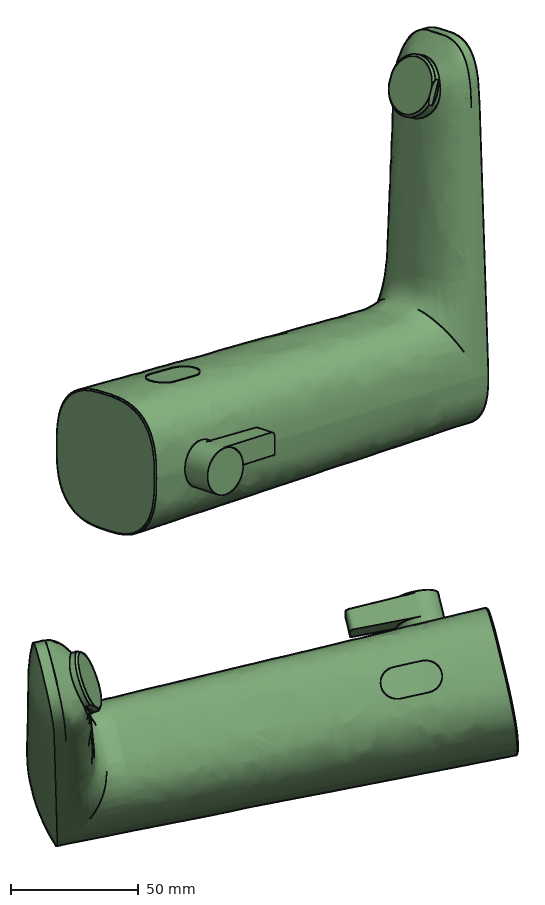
import cadquery as cq
import math


total_length = 189.1
base_half_width = 28.2
base_half_height = 28.4
seam_y = 179.6
seam_half_width = 24.5
seam_upper_height = 26.1
seam_lower_height = 24.8
body_power = 2.7
base_chamfer = 0.5

elbow_start_y = 153.2
elbow_end_z = 39.7
elbow_end_crown_y = 164.5
neck_power = 2.1

head_start_z = 109.7
head_half_width = 19.7
head_depth = 13.2
head_slope = 0.85
head_blend_power = 6
top_z = 135.8
head_outline_power = 3.0
head_end_gap = 0.2

rim_y = 184.2
dome_ridge_top_z = 114.2
dome_ridge_scale = 0.08

nozzle_radius = 12.5
nozzle_face_y = 165.5
nozzle_face_z = 117.2
nozzle_tilt = 19.5
nozzle_depth = 11.3
nozzle_chamfer = 1.0
nozzle_flat_offset = 11.3
nozzle_flat_length = 2.8

lever_radius = 9.6
lever_y = 26.0
lever_outer_x = 40.7
lever_inner_x = 22.7
arm_tip_y = 53.9
arm_root_x = (30.0, 40.0)
arm_tip_x = (30.8, 39.3)
arm_tip_round = 1.9

window_width = 13.2
window_length = 24.4
window_center_y = 36.5
window_depth = 0.2

elbow_corner_angle = math.atan2(seam_y - elbow_start_y, elbow_end_z)

ARCH_STEPS = 16


def mix(start, end, fraction):
    return start + (end - start) * fraction


def body_half_width(y):
    return mix(base_half_width, seam_half_width, y / seam_y)


def body_height(side, y):
    """Height of the body above (side = 1) or below (side = -1) its middle."""
    seam_height = seam_upper_height if side > 0 else seam_lower_height
    return mix(base_half_height, seam_height, y / seam_y)


def neck_taper(z):
    return mix(seam_half_width, head_half_width, z / head_start_z)


def neck_half_width(z):
    rise = max(0.0, (z - head_start_z) / (top_z - head_start_z))
    rounding = (1 - rise ** head_outline_power) ** (1 / head_outline_power)
    return neck_taper(z) * rounding


def rounded_end(power):
    """Points (across, rise) of a half superellipse, from (1, 0) over (0, 1) to (-1, 0)."""
    points = []
    for step in range(ARCH_STEPS + 1):
        angle = math.pi * step / ARCH_STEPS
        across = math.copysign(abs(math.cos(angle)) ** (2 / power), math.cos(angle))
        rise = abs(math.sin(angle)) ** (2 / power)
        points.append((across, rise))
    return points


def arch(base, crown, half_width, power):
    """Closed half superellipse standing on a line along X; base and crown are (y, z)."""
    points = []
    for across, rise in rounded_end(power):
        y = mix(base[0], crown[0], rise)
        z = mix(base[1], crown[1], rise)
        points.append(cq.Vector(half_width * across, y, z))
    chord = cq.Edge.makeLine(points[-1], points[0])
    return cq.Wire.assembleEdges([cq.Edge.makeSpline(points), chord])


def loft(wires, ruled=False):
    return cq.Workplane(cq.Solid.makeLoft(wires, ruled))


def body_half(side, end_y, inset=0.0):
    """Tapered upper (side = 1) or lower (side = -1) half of the body, chamfered at the base."""
    stations = [
        (0.0, inset + base_chamfer),
        (base_chamfer, inset),
        (end_y, inset),
    ]
    wires = []
    for y, station_inset in stations:
        crown = (y, side * (body_height(side, y) - station_inset))
        wires.append(arch((y, 0.0), crown, body_half_width(y) - station_inset, body_power))
    return loft(wires, ruled=True)


def elbow_section(angle):
    """Arch in the plane through the elbow pivot, turned by angle from straight down."""
    fraction = angle / (math.pi / 2)
    body_reach = elbow_end_z - body_height(1, elbow_start_y)
    neck_reach = elbow_end_crown_y - elbow_start_y
    crown_reach = mix(body_reach, neck_reach, fraction)
    along_y = math.sin(angle)
    along_z = math.cos(angle)
    crown = (elbow_start_y + crown_reach * along_y, elbow_end_z - crown_reach * along_z)
    if angle <= elbow_corner_angle:
        base = (elbow_start_y + elbow_end_z * math.tan(angle), 0.0)
        half_width = body_half_width(base[0])
    else:
        base = (seam_y, elbow_end_z - (seam_y - elbow_start_y) / math.tan(angle))
        half_width = neck_half_width(base[1])
    return arch(base, crown, half_width, mix(body_power, neck_power, fraction))


def elbow_part(start_angle, end_angle, steps=4):
    return loft([elbow_section(mix(start_angle, end_angle, i / steps)) for i in range(steps + 1)])


def head_section(z):
    slope_depth = head_slope * (top_z - z)
    depth = (head_depth ** -head_blend_power + slope_depth ** -head_blend_power) ** (-1 / head_blend_power)
    return arch((seam_y, z), (seam_y - depth, z), neck_half_width(z), neck_power)


def head(steps=8):
    end_z = top_z - head_end_gap
    stations = []
    for i in range(steps + 1):
        stations.append(mix(head_start_z, end_z, math.sin(math.pi / 2 * i / steps)))
    return loft([head_section(z) for z in stations])


def plate_outline(y, scale=1.0):
    """Back plate outline; a smaller scale draws it in towards the ridge of the dome."""
    scaled_top = mix(dome_ridge_top_z, top_z, scale)
    bottom = []
    for across, drop in rounded_end(body_power):
        bottom.append(cq.Vector(-scale * seam_half_width * across, y, -scale * seam_lower_height * drop))
    top = []
    for across, rise in rounded_end(head_outline_power):
        z = mix(head_start_z, scaled_top, rise)
        top.append(cq.Vector(scale * neck_taper(z) * across, y, z))
    return cq.Wire.assembleEdges([
        cq.Edge.makeSpline(bottom),
        cq.Edge.makeLine(bottom[-1], top[0]),
        cq.Edge.makeSpline(top),
        cq.Edge.makeLine(top[-1], bottom[0]),
    ])


def back_plate(dome_steps=5):
    """Rim of constant outline closed by a shallow dome."""
    rim = loft([plate_outline(seam_y), plate_outline(rim_y)], ruled=True)
    stations = []
    for i in range(dome_steps + 1):
        scale = mix(1.0, dome_ridge_scale, i / dome_steps)
        sag = (scale ** 2 - dome_ridge_scale ** 2) / (1 - dome_ridge_scale ** 2)
        stations.append(plate_outline(mix(total_length, rim_y, sag), scale))
    return rim.union(loft(stations))


def nozzle():
    """Tilted outlet with two short side flats behind its face."""
    tilt = math.radians(nozzle_tilt)
    face = cq.Plane(
        origin=(0, nozzle_face_y, nozzle_face_z),
        xDir=(1, 0, 0),
        normal=(0, -math.cos(tilt), math.sin(tilt)),
    )
    barrel = cq.Workplane(face).circle(nozzle_radius).extrude(-nozzle_depth)
    barrel = barrel.faces("<Y").chamfer(nozzle_chamfer)
    cutter_width = nozzle_radius
    for side in (1, -1):
        flat_cutter = (
            cq.Workplane(face)
            .center(side * (nozzle_flat_offset + cutter_width / 2), 0)
            .rect(cutter_width, 2 * nozzle_radius)
            .extrude(-nozzle_flat_length)
        )
        barrel = barrel.cut(flat_cutter)
    return barrel


def lever():
    """Round hub on the +X side with a tapering arm along +Y, level with the top of the hub."""
    hub = (
        cq.Workplane("YZ", origin=(lever_inner_x, lever_y, 0))
        .circle(lever_radius)
        .extrude(lever_outer_x - lever_inner_x)
    )
    arm = (
        cq.Workplane("XY")
        .polyline([
            (arm_root_x[0], lever_y),
            (arm_root_x[1], lever_y),
            (arm_tip_x[1], arm_tip_y),
            (arm_tip_x[0], arm_tip_y),
        ])
        .close()
        .extrude(lever_radius)
        .edges(">Y and >Z")
        .fillet(arm_tip_round)
    )
    return hub.union(arm)


def window_recess():
    """Shallow slot that follows the curve of the body's upper side."""
    slot = (
        cq.Workplane("XY", origin=(0, window_center_y, 0))
        .slot2D(window_length, window_width, 90)
        .extrude(2 * base_half_height)
    )
    return slot.cut(body_half(1, elbow_start_y, inset=window_depth))


neck_sections = [elbow_section(math.pi / 2), head_section(head_start_z)]

result = (
    body_half(1, elbow_start_y)
    .union(body_half(-1, seam_y))
    .union(elbow_part(0, elbow_corner_angle))
    .union(elbow_part(elbow_corner_angle, math.pi / 2))
    .union(loft(neck_sections, ruled=True))
    .union(head())
    .union(back_plate())
    .cut(window_recess())
    .union(nozzle())
    .union(lever())
)